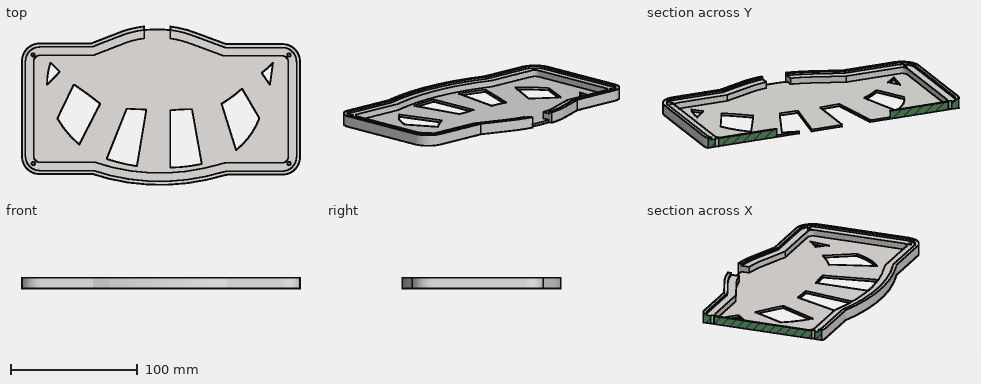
import cadquery as cq

length = 219.2
height = 8.5
corner_radius = 14.0
left_x = -length / 2
right_x = length / 2
back_left_y = 49.0
back_right_y = 48.7
front_left_y = -54.0
front_right_y = -54.4

back_kink_left = (-55.0, back_left_y)
back_arc = [(-29.5, 59.0), (-2.6, 63.1), (27.5, 57.5)]
back_kink_right = (51.0, back_right_y)
front_kink_right = (52.2, front_right_y)
front_arc = [(35.7, -58.5), (-0.9, -62.5), (-41.0, -57.7)]
front_kink_left = (-53.5, front_left_y)

floor_thickness = 2.0
step_depth = 1.5
rim_width = 2.8
wall_width = 9.5
ledge_height = height - step_depth

gap_left = -13.4
gap_right = 7.5

hole_diameter = 2.5
hole_centers = [(-100.8, 40.1), (100.8, 40.0), (-100.6, -45.5), (100.8, -45.5)]

windows = [
    ((-87.0, 34.0), [((-79.8, 26.7),), ((-89.7, 16.7),), ((-89.0, 25.6), (-87.0, 34.0))]),
    ((88.1, 33.8), [((85.7, 16.7),), ((79.4, 25.9),), ((84.0, 29.5), (88.1, 33.8))]),
    ((-68.6, 16.7), [((-58.3, 9.5), (-48.0, 1.5)), ((-64.5, -30.5),),
                    ((-73.9, -21.0), (-81.5, -10.0)), ((-68.6, 16.7),)]),
    ((-27.0, -2.5), [((-19.3, -2.8), (-11.6, -3.0)), ((-19.0, -47.5),),
                     ((-31.1, -45.2), (-42.7, -41.9)), ((-27.0, -2.5),)]),
    ((7.5, -3.7), [((16.0, -3.0), (24.3, -2.8)), ((32.0, -45.8),),
                   ((20.2, -47.8), (7.5, -48.7)), ((7.5, -3.7),)]),
    ((63.8, 13.4), [((77.4, -9.9),), ((69.3, -24.5), (59.2, -34.9)),
                   ((47.8, 1.5),), ((56.1, 7.0), (63.8, 13.4))]),
]


def outer_prism():
    """Full-height solid inside the outer outline."""
    outline = (
        cq.Workplane("XY")
        .moveTo(left_x, back_left_y)
        .lineTo(*back_kink_left)
        .lineTo(*back_arc[0])
        .threePointArc(*back_arc[1:])
        .lineTo(*back_kink_right)
        .lineTo(right_x, back_right_y)
        .lineTo(right_x, front_right_y)
        .lineTo(*front_kink_right)
        .lineTo(*front_arc[0])
        .threePointArc(*front_arc[1:])
        .lineTo(*front_kink_left)
        .lineTo(left_x, front_left_y)
        .close()
    )
    prism = outline.extrude(height)
    for side, x in (("<X", left_x), (">X", right_x)):
        prism = prism.faces(side).edges("|Z").fillet(corner_radius)
    return prism


def inset_prism(body, inset, bottom):
    """Outer outline moved inward, from the given level up to the top."""
    outline = body.faces("<Z").wires().val().offset2D(-inset, "intersection")[0]
    return (
        cq.Workplane("XY")
        .add(outline)
        .toPending()
        .extrude(height)
        .translate((0, 0, bottom))
    )


def window_cutter(start, edges):
    """Prism through the floor with straight and arched edges."""
    path = cq.Workplane("XY").moveTo(*start)
    for edge in edges:
        if len(edge) == 2:
            path = path.threePointArc(*edge)
        else:
            path = path.lineTo(*edge[0])
    return path.close().extrude(height)


def gap_cutter(body):
    """Back wall opening, which keeps only the floor inside the rim."""
    slot = (
        cq.Workplane("XY")
        .rect(gap_right - gap_left, length / 2)
        .extrude(height)
        .translate(((gap_left + gap_right) / 2, length / 4, 0))
    )
    kept_floor = inset_prism(body, rim_width, floor_thickness - height)
    return slot.cut(kept_floor)


blank = outer_prism()
result = blank.cut(inset_prism(blank, rim_width, ledge_height))
result = result.cut(inset_prism(blank, wall_width, floor_thickness))
result = result.cut(gap_cutter(blank))

for window_start, window_edges in windows:
    result = result.cut(window_cutter(window_start, window_edges))

holes = cq.Workplane("XY").pushPoints(hole_centers).circle(hole_diameter / 2).extrude(height)
result = result.cut(holes)